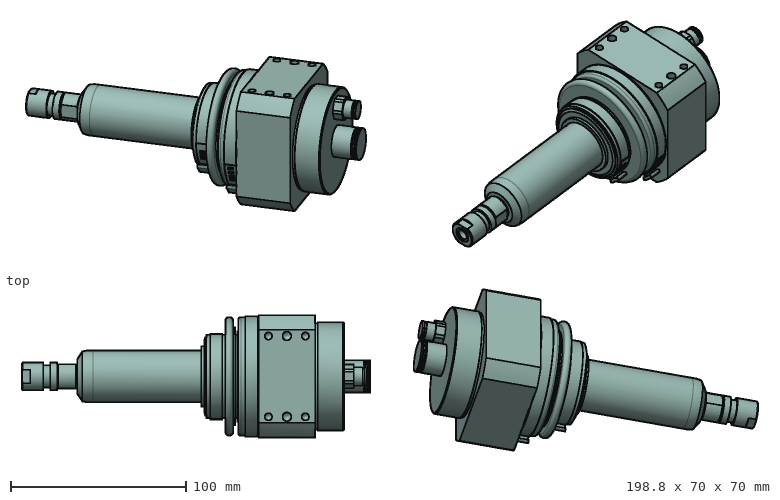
import cadquery as cq
import math

LENGTH = 198.8

HOLDER_DIA = 16.0
HOLDER_FLAT_WIDTH = 14.0
TIP_END = 12.3
TIP_FLAT_LENGTH = 4.8
TIP_CHAMFER = 0.5
WAIST_DIA = 13.0
COLLAR_START = 16.1
COLLAR_END = 20.0
SHANK_DIA = 14.0
WRENCH_START = 20.9
WRENCH_END = 30.6
TIP_BORE_DIA = 9.0
TIP_BORE_DEPTH = 0.5
TIP_HOLE_DIA = 6.0
TIP_HOLE_DEPTH = 6.0

NOSE_START = 31.6
NOSE_START_DIA = 19.9
CONE_END = 34.5
CONE_END_DIA = 28.6
SLEEVE_START = 40.4
SLEEVE_DIA = 29.6
NOSE_BULGE = 0.3

FLANGE_START = 102.4
FLANGE_DIA = 34.5
LIP_START = 104.2
LIP_DIA = 45.0
LIP_FACE_DIA = 41.7
LIP_BEVEL_LENGTH = 0.5
FRONT_BODY_START = 105.4
FRONT_BODY_DIA = 47.7
SMALL_CLAMP_START = 107.5
SMALL_CLAMP_END = 114.5
SMALL_CLAMP_DIA = 48.5

DISC_START = 116.0
DISC_END = 120.7
DISC_DIA = 67.8
HUB_END = 121.7
HUB_DIA = 56.0
COLLAR_STEP_START = 122.9
COLLAR_STEP_DIA = 51.7
REAR_BODY_START = 123.5
REAR_BODY_DIA = 67.8
REAR_BODY_EDGE_RADIUS = 1.5
LARGE_CLAMP_START = 127.5
LARGE_CLAMP_END = 134.5
LARGE_CLAMP_DIA = 69.0

BAND_THICKNESS = 0.4
EAR_ANGLE = 45.0
EAR_NECK_WIDTH = 2.4
EAR_WIDTH = 8.0
EAR_THICKNESS = 2.0
EAR_EDGE_RADIUS = 0.8
EAR_RISE = 3.8
WINDOW_LENGTH = 3.0
WINDOW_HEIGHT = 1.2
SMALL_BAND_ANGLE = 3.3
SMALL_WINDOW_ANGLES = (16.3, 22.3, 28.3)
LARGE_BAND_ANGLE = 13.4
LARGE_WINDOW_ANGLES = (17.6, 23.0, 28.4, 33.8)

BLOCK_START = 135.2
BLOCK_END = 167.4
BLOCK_SIDE = 70.0
BLOCK_CORNER_DIA = 87.9
SIDE_HOLE_DIA = 4.2
CENTRE_HOLE_DIA = 5.0
HOLE_PITCH = 10.5
HOLE_ROW_OFFSET = 23.0
HOLE_DEPTH = 8.0
DRILL_POINT_ANGLE = 118.0

CAP_NECK_DIA = 60.8
CAP_START = 168.8
CAP_END = 183.9
CAP_DIA = 62.0
CAP_CHAMFER = 0.5

HOSE_DIA = 18.5
HOSE_BODY_END = 195.5
HOSE_NECK_DIA = 13.1
HOSE_RING_START = 196.5
HOSE_RING_WIDTH = 1.0

PORT_HEIGHT = 20.9
PORT_HEX_FLATS = 12.7
PORT_HEX_CORNER_DIA = 13.7
PORT_HEX_END = 189.5
PORT_DIA = 10.5
PORT_BODY_END = 194.6
PORT_NECK_DIA = 9.0
PORT_RING_START = 195.8
PORT_END = 197.0


def disc(start, end, diameter, height=0.0):
    """Round section along X, centred at z = height."""
    plane = cq.Workplane("YZ", origin=(start, 0, height))
    return plane.circle(diameter / 2).extrude(end - start)


def x_box(start, end, width, depth):
    """Box on the axis, width along Y and depth along Z."""
    return cq.Workplane("YZ", origin=(start, 0, 0)).rect(width, depth).extrude(end - start)


def tool_holder():
    tip = disc(0, TIP_END, HOLDER_DIA).faces("<X").chamfer(TIP_CHAMFER)
    flats = x_box(0, TIP_FLAT_LENGTH, HOLDER_DIA, HOLDER_FLAT_WIDTH)
    tip = tip.intersect(flats.union(disc(TIP_FLAT_LENGTH, TIP_END, HOLDER_DIA)))
    tip = tip.cut(disc(0, TIP_BORE_DEPTH, TIP_BORE_DIA))
    tip = tip.cut(disc(0, TIP_HOLE_DEPTH, TIP_HOLE_DIA))

    wrench = disc(WRENCH_START, WRENCH_END, HOLDER_DIA)
    wrench = wrench.intersect(x_box(WRENCH_START, WRENCH_END, HOLDER_FLAT_WIDTH, HOLDER_DIA))

    holder = tip.union(disc(TIP_END, COLLAR_START, WAIST_DIA))
    holder = holder.union(disc(COLLAR_START, COLLAR_END, HOLDER_DIA))
    holder = holder.union(disc(COLLAR_END, NOSE_START, SHANK_DIA))
    return holder.union(wrench)


def sleeve():
    cone_radius, sleeve_radius = CONE_END_DIA / 2, SLEEVE_DIA / 2
    nose_middle = (
        (CONE_END + SLEEVE_START) / 2,
        (cone_radius + sleeve_radius) / 2 + NOSE_BULGE,
    )
    return (
        cq.Workplane("XY")
        .moveTo(NOSE_START, 0)
        .lineTo(NOSE_START, NOSE_START_DIA / 2)
        .lineTo(CONE_END, cone_radius)
        .threePointArc(nose_middle, (SLEEVE_START, sleeve_radius))
        .lineTo(FLANGE_START, sleeve_radius)
        .lineTo(FLANGE_START, 0)
        .close()
        .revolve(360, (0, 0, 0), (1, 0, 0))
    )


def bellows_disc():
    """Disc whose rim is a full half circle."""
    rim_radius = DISC_DIA / 2
    shoulder = rim_radius - (DISC_END - DISC_START) / 2
    return (
        cq.Workplane("XY")
        .moveTo(DISC_START, 0)
        .lineTo(DISC_START, shoulder)
        .threePointArc(((DISC_START + DISC_END) / 2, rim_radius), (DISC_END, shoulder))
        .lineTo(DISC_END, 0)
        .close()
        .revolve(360, (0, 0, 0), (1, 0, 0))
    )


def stepped_body():
    body = disc(FLANGE_START, LIP_START, FLANGE_DIA)
    bevel_height = (LIP_DIA - LIP_FACE_DIA) / 2
    lip = disc(LIP_START, FRONT_BODY_START, LIP_DIA)
    body = body.union(lip.faces("<X").chamfer(LIP_BEVEL_LENGTH, bevel_height))
    body = body.union(disc(FRONT_BODY_START, REAR_BODY_START, FRONT_BODY_DIA))
    body = body.union(bellows_disc())
    body = body.union(disc(DISC_END, HUB_END, HUB_DIA))
    body = body.union(disc(COLLAR_STEP_START, REAR_BODY_START, COLLAR_STEP_DIA))
    rear_body = disc(REAR_BODY_START, BLOCK_START, REAR_BODY_DIA)
    return body.union(rear_body.faces("<X").edges().fillet(REAR_BODY_EDGE_RADIUS))


def clamp(start, end, diameter, band_start_angle, window_angles):
    """Clamp ring whose angles run from the -Y side down towards -Z."""
    radius = diameter / 2
    outer_radius = radius + BAND_THICKNESS
    width = end - start
    middle = (start + end) / 2
    ring = disc(start, end, diameter)

    def on_band(angle):
        turn = math.radians(angle)
        return (-outer_radius * math.cos(turn), -outer_radius * math.sin(turn))

    band = (
        cq.Workplane("YZ", origin=(start, 0, 0))
        .lineTo(*on_band(band_start_angle))
        .threePointArc(on_band((band_start_angle + EAR_ANGLE) / 2), on_band(EAR_ANGLE))
        .close()
        .extrude(width)
    )
    window = cq.Workplane("XY").box(WINDOW_LENGTH, 2 * BAND_THICKNESS, WINDOW_HEIGHT)
    window = window.translate((middle, -outer_radius, 0))
    for angle in window_angles:
        band = band.cut(window.rotate((0, 0, 0), (1, 0, 0), angle))

    ear_top = radius + EAR_RISE
    ear = cq.Workplane("XY").box(width, ear_top, EAR_NECK_WIDTH)
    ear = ear.translate((middle, -ear_top / 2, 0))
    bar = cq.Workplane("XY").box(width, EAR_THICKNESS, EAR_WIDTH)
    bar = bar.edges("|X").fillet(EAR_EDGE_RADIUS)
    ear = ear.union(bar.translate((middle, EAR_THICKNESS / 2 - ear_top, 0)))
    return ring.union(band).union(ear.rotate((0, 0, 0), (1, 0, 0), EAR_ANGLE))


def drilled_hole(diameter):
    """Blind hole going down from the origin, with a conical bottom."""
    radius = diameter / 2
    point_depth = radius / math.tan(math.radians(DRILL_POINT_ANGLE / 2))
    return (
        cq.Workplane("XZ")
        .lineTo(radius, 0)
        .lineTo(radius, -HOLE_DEPTH)
        .lineTo(0, -HOLE_DEPTH - point_depth)
        .close()
        .revolve(360, (0, 0, 0), (0, 1, 0))
    )


def mounting_block():
    block = x_box(BLOCK_START, BLOCK_END, BLOCK_SIDE, BLOCK_SIDE)
    block = block.intersect(disc(BLOCK_START, BLOCK_END, BLOCK_CORNER_DIA))
    middle = (BLOCK_START + BLOCK_END) / 2
    for step, diameter in ((-1, SIDE_HOLE_DIA), (0, CENTRE_HOLE_DIA), (1, SIDE_HOLE_DIA)):
        x = middle + step * HOLE_PITCH
        for y in (HOLE_ROW_OFFSET, -HOLE_ROW_OFFSET):
            block = block.cut(drilled_hole(diameter).translate((x, y, BLOCK_SIDE / 2)))
    return block


def rear_cap():
    cap = disc(CAP_START, CAP_END, CAP_DIA).faces(">X").chamfer(CAP_CHAMFER)
    return cap.union(disc(BLOCK_END, CAP_START, CAP_NECK_DIA))


def hose_fitting():
    fitting = disc(CAP_END, HOSE_BODY_END, HOSE_DIA)
    fitting = fitting.union(disc(HOSE_BODY_END, LENGTH, HOSE_NECK_DIA))
    for start in (HOSE_RING_START, LENGTH - HOSE_RING_WIDTH):
        fitting = fitting.union(disc(start, start + HOSE_RING_WIDTH, HOSE_DIA))
    return fitting


def port_fitting():
    corner_to_corner = PORT_HEX_FLATS / math.cos(math.pi / 6)
    base = cq.Workplane("YZ", origin=(CAP_END, 0, PORT_HEIGHT))
    base = base.polygon(6, corner_to_corner).extrude(PORT_HEX_END - CAP_END)
    base = base.intersect(disc(CAP_END, PORT_HEX_END, PORT_HEX_CORNER_DIA, PORT_HEIGHT))
    fitting = base.union(disc(PORT_HEX_END, PORT_BODY_END, PORT_DIA, PORT_HEIGHT))
    fitting = fitting.union(disc(PORT_BODY_END, PORT_END, PORT_NECK_DIA, PORT_HEIGHT))
    return fitting.union(disc(PORT_RING_START, PORT_END, PORT_DIA, PORT_HEIGHT))


small_clamp = clamp(
    SMALL_CLAMP_START, SMALL_CLAMP_END, SMALL_CLAMP_DIA, SMALL_BAND_ANGLE, SMALL_WINDOW_ANGLES
)
large_clamp = clamp(
    LARGE_CLAMP_START, LARGE_CLAMP_END, LARGE_CLAMP_DIA, LARGE_BAND_ANGLE, LARGE_WINDOW_ANGLES
)

result = tool_holder().union(sleeve()).union(stepped_body())
result = result.union(small_clamp).union(large_clamp)
result = result.union(mounting_block()).union(rear_cap())
result = result.union(hose_fitting()).union(port_fitting())